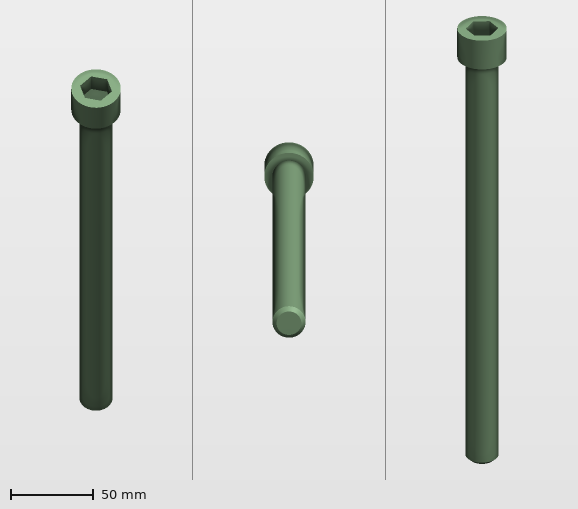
import cadquery as cq
import math

total_length = 300.0
head_diameter = 30.0
shank_diameter = 20.0
head_height = shank_diameter

socket_across_flats = 17.0
socket_depth = 12.0

tip_diameter = 15.0
tip_height = 2.5

bottom_z = -total_length / 2
top_z = total_length / 2
head_bottom_z = top_z - head_height


def make_body():
    """Revolve the half outline of the head, shank and bevelled tip."""
    outline = [
        (0, bottom_z),
        (tip_diameter / 2, bottom_z),
        (shank_diameter / 2, bottom_z + tip_height),
        (shank_diameter / 2, head_bottom_z),
        (head_diameter / 2, head_bottom_z),
        (head_diameter / 2, top_z),
        (0, top_z),
    ]
    return cq.Workplane("XZ").polyline(outline).close().revolve(360, (0, 0), (0, 1))


def make_socket():
    """Hexagonal prism that sinks into the head from its top face."""
    across_corners = socket_across_flats / math.cos(math.pi / 6)
    return (
        cq.Workplane("XY")
        .workplane(offset=top_z - socket_depth)
        .polygon(6, across_corners)
        .extrude(socket_depth)
    )


result = make_body().cut(make_socket())